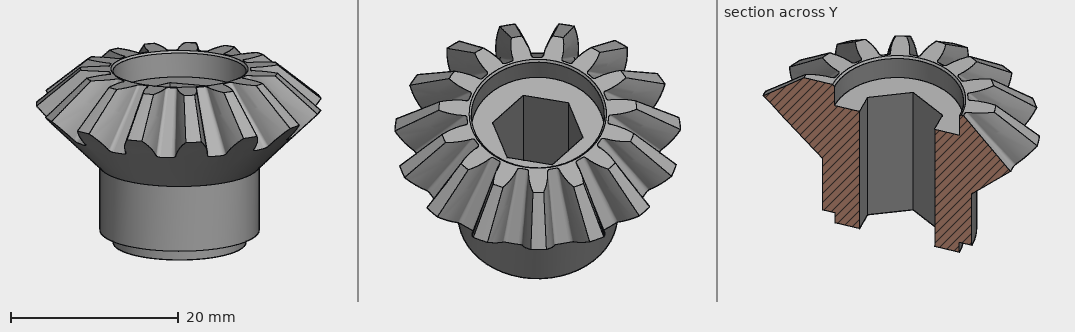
import cadquery as cq
import math

tooth_count = 15
total_height = 21.46
apex_height = 31.3

spigot_radius = 15.875 / 2
spigot_height = 1.54
hub_radius = 19.05 / 2
hub_top = 9.55

tip_radius = 17.07
back_cone_angle = 45.0

recess_radius = 15.875 / 2
recess_depth = 3.2
recess_chamfer = 0.25
hex_across_flats = 9.525

root_radius = 8.46
floor_half_width = 0.38
fillet_radius = 0.32
flank_start_angle = 10.0
flank_end = (11.75, 1.87)
mouth = (13.0, 2.66)
cutter_bottom = 10.0
cutter_top = total_height + 1.0

tip_height = hub_top + (tip_radius - hub_radius) * math.tan(math.radians(back_cone_angle))
top_apex_distance = apex_height - total_height
top_radius = tip_radius * top_apex_distance / (apex_height - tip_height)
flank_lean = math.radians(flank_start_angle)
flank_start = (
    root_radius + fillet_radius * (1 - math.sin(flank_lean)),
    floor_half_width + fillet_radius * math.cos(flank_lean),
)


def make_blank():
    """Spigot, hub, back cone and tip cone turned as one solid."""
    return (
        cq.Workplane("XZ")
        .moveTo(0, 0)
        .lineTo(spigot_radius, 0)
        .lineTo(spigot_radius, spigot_height)
        .lineTo(hub_radius, spigot_height)
        .lineTo(hub_radius, hub_top)
        .lineTo(tip_radius, tip_height)
        .lineTo(top_radius, total_height)
        .lineTo(0, total_height)
        .close()
        .revolve(360, (0, 0), (0, 1))
    )


def space_outline(height):
    """Closed outline of one tooth space at a height, scaled about the apex."""
    scale = (apex_height - height) / top_apex_distance

    def place(radius, half_width):
        return (scale * radius, scale * half_width)

    outline = (
        cq.Workplane("XY")
        .workplane(offset=height)
        .moveTo(*place(root_radius, 0))
        .lineTo(*place(root_radius, floor_half_width))
        .tangentArcPoint(place(*flank_start), relative=False)
        .tangentArcPoint(place(*flank_end), relative=False)
        .lineTo(*place(*mouth))
        .lineTo(*place(mouth[0], 0))
        .mirrorX()
    )
    return outline.val()


def cut_tooth_spaces(body):
    """Cut the tapering spaces; one of them is centred on +X."""
    space = cq.Solid.makeLoft([space_outline(cutter_bottom), space_outline(cutter_top)], True)
    pitch_angle = 360 / tooth_count
    for index in range(tooth_count):
        cutter = space.rotate(cq.Vector(0, 0, 0), cq.Vector(0, 0, 1), index * pitch_angle)
        body = body.cut(cq.Workplane(obj=cutter))
    return body


def cut_recess(body):
    """Round recess in the top face, with a chamfered rim."""
    recess_floor = total_height - recess_depth
    recess = (
        cq.Workplane("XZ")
        .moveTo(0, recess_floor)
        .lineTo(recess_radius, recess_floor)
        .lineTo(recess_radius, total_height - recess_chamfer)
        .lineTo(recess_radius + recess_chamfer, total_height)
        .lineTo(0, total_height)
        .close()
        .revolve(360, (0, 0), (0, 1))
    )
    return body.cut(recess)


def cut_hex_bore(body):
    """Through hexagon with two corners on the Y axis."""
    across_corners = hex_across_flats / math.cos(math.radians(30))
    hexagon = (
        cq.Workplane("XY")
        .transformed(rotate=(0, 0, 90))
        .polygon(6, across_corners)
        .extrude(total_height)
    )
    return body.cut(hexagon)


result = cut_hex_bore(cut_recess(cut_tooth_spaces(make_blank())))